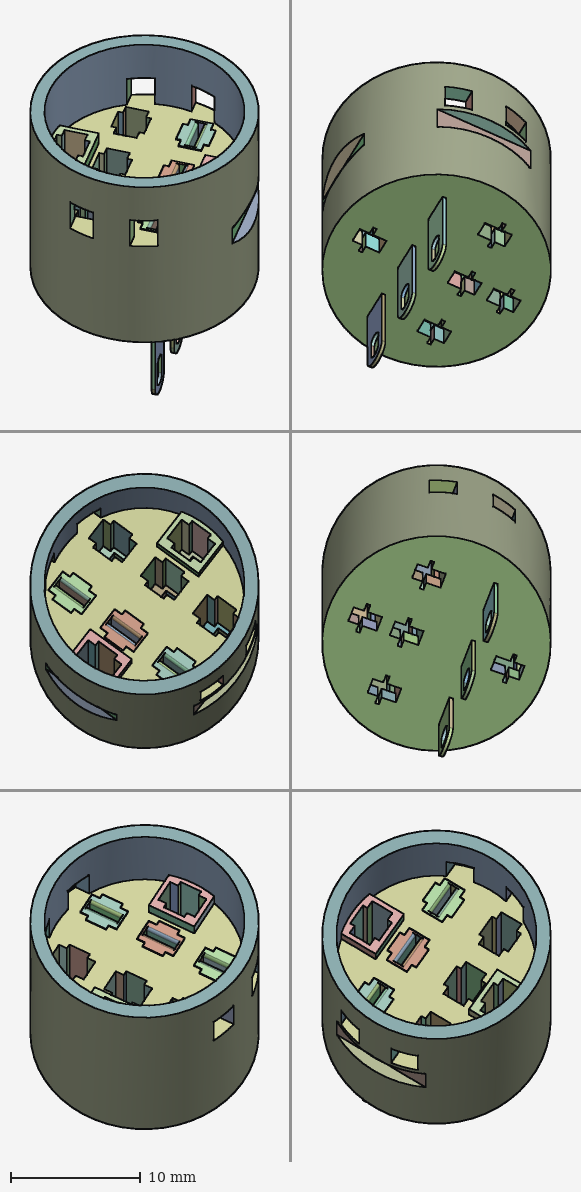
import cadquery as cq

BODY_DIAMETER = 17.6
BORE_DIAMETER = 15.4
BODY_HEIGHT = 16.0
FLOOR_Z = 9.9
BODY_RADIUS = BODY_DIAMETER / 2
BORE_RADIUS = BORE_DIAMETER / 2

WINDOW_WIDTH = 2.05
WINDOW_HEIGHT = 2.65
WINDOW_X = 2.5

SIDE_NOTCH_DEPTH = 1.0
SIDE_NOTCH_BOTTOM_Z = 6.8
SIDE_NOTCH_TOP_Z = 9.3

KEY_NOTCH_DEPTH = 0.7
KEY_NOTCH_CENTER_Z = 8.15
KEY_NOTCH_BASE_HEIGHT = 1.5

CONTACT_PITCH_Y = 5.0
COLUMN_X = 2.6
SEAT_X = 6.0
ROW_YS = [-CONTACT_PITCH_Y, 0, CONTACT_PITCH_Y]

SEAT_INNER_X = 4.28
SEAT_WIDTH = 4.0
SEAT_HEIGHT = 1.0

CROSS_LENGTH = 3.2
CROSS_WIDTH = 2.65
CROSS_STEM_WIDTH = 1.85
CROSS_ARM_LENGTH = 1.8
CAVITY_BOTTOM_Z = 2.0

RETAINER_HOLE_WIDTH = 1.2
RETAINER_HOLE_SHORT_REACH = 1.0
RETAINER_HOLE_LONG_REACH = CROSS_WIDTH / 2
SLIT_LENGTH = 2.4
SLIT_THICKNESS = 0.3

CONTACT_RISE = 0.1
MOUTH_LENGTH = 2.8
MOUTH_GAP = 0.46
MOUTH_LIP_RADIUS = 0.24
MOUTH_DEPTH = 6.0

TAIL_LENGTH = 7.9
TAIL_WIDTH = 2.4
TAIL_THICKNESS = SLIT_THICKNESS
EYELET_WIDTH = 1.2
EYELET_LENGTH = 2.8
EYELET_EDGE = 0.8


def box(x_range, y_range, z_range):
    """Axis-aligned box given by its (low, high) limits on each axis."""
    sizes = [high - low for low, high in (x_range, y_range, z_range)]
    corner = (x_range[0], y_range[0], z_range[0])
    return cq.Workplane("XY").box(*sizes, centered=False).translate(corner)


def cross_prism(x, y, bottom_z, top_z):
    """Upright prism with the stepped cross outline."""
    height = top_z - bottom_z
    plane = cq.Workplane("XY", origin=(x, y, bottom_z))
    stem = plane.rect(CROSS_STEM_WIDTH, CROSS_LENGTH).extrude(height)
    arms = plane.rect(CROSS_WIDTH, CROSS_ARM_LENGTH).extrude(height)
    return stem.union(arms)


def make_shell():
    shell = cq.Workplane("XY").circle(BODY_RADIUS).extrude(BODY_HEIGHT)
    bore = cq.Workplane("XY", origin=(0, 0, FLOOR_Z)).circle(BORE_RADIUS).extrude(BODY_HEIGHT - FLOOR_Z)
    return shell.cut(bore)


def cut_windows(body):
    for center_x in (-WINDOW_X, WINDOW_X):
        window = box(
            (center_x - WINDOW_WIDTH / 2, center_x + WINDOW_WIDTH / 2),
            (-BODY_RADIUS, BODY_RADIUS),
            (FLOOR_Z, FLOOR_Z + WINDOW_HEIGHT),
        )
        body = body.cut(window)
    return body


def cut_side_notch(body):
    notch = box(
        (-BODY_RADIUS, BODY_RADIUS),
        (BODY_RADIUS - SIDE_NOTCH_DEPTH, BODY_RADIUS),
        (SIDE_NOTCH_BOTTOM_Z, SIDE_NOTCH_TOP_Z),
    )
    return body.cut(notch)


def cut_key_notch(body):
    base_x = BODY_RADIUS - KEY_NOTCH_DEPTH
    half_base = KEY_NOTCH_BASE_HEIGHT / 2
    half_mouth = half_base + KEY_NOTCH_DEPTH
    profile = [
        (base_x, KEY_NOTCH_CENTER_Z - half_base),
        (BODY_RADIUS, KEY_NOTCH_CENTER_Z - half_mouth),
        (BODY_RADIUS, KEY_NOTCH_CENTER_Z + half_mouth),
        (base_x, KEY_NOTCH_CENTER_Z + half_base),
    ]
    notch = cq.Workplane("XZ").polyline(profile).close().extrude(BODY_RADIUS, both=True)
    return body.cut(notch)


def add_seats(body):
    z_range = (FLOOR_Z, FLOOR_Z + SEAT_HEIGHT)
    y_range = (-SEAT_WIDTH / 2, SEAT_WIDTH / 2)
    envelope_radius = (BORE_RADIUS + BODY_RADIUS) / 2
    envelope = cq.Workplane("XY").circle(envelope_radius).extrude(BODY_HEIGHT)
    for x_range in ((-BODY_RADIUS, -SEAT_INNER_X), (SEAT_INNER_X, BODY_RADIUS)):
        seat = box(x_range, y_range, z_range).intersect(envelope)
        body = body.union(seat)
    return body


def cut_cavity(body, x, y, top_z, long_side):
    """Empty contact cavity; long_side (+1 or -1) is the X side where its bottom hole meets the wall."""
    cavity = cross_prism(x, y, CAVITY_BOTTOM_Z, top_z)
    hole_ends = sorted((x + long_side * RETAINER_HOLE_LONG_REACH, x - long_side * RETAINER_HOLE_SHORT_REACH))
    half_hole = RETAINER_HOLE_WIDTH / 2
    hole = box(hole_ends, (y - half_hole, y + half_hole), (0, CAVITY_BOTTOM_Z))
    slit = box(
        (x - SLIT_THICKNESS / 2, x + SLIT_THICKNESS / 2),
        (y - SLIT_LENGTH / 2, y + SLIT_LENGTH / 2),
        (0, CAVITY_BOTTOM_Z),
    )
    return body.cut(cavity).cut(hole).cut(slit)


def make_mouth(x, y, top_z):
    """Slot between the contact blades, widening at the top over rounded lips."""
    half_gap = MOUTH_GAP / 2
    half_mouth = half_gap + MOUTH_LIP_RADIUS
    lip_z = top_z - MOUTH_LIP_RADIUS
    bottom_z = top_z - MOUTH_DEPTH
    lip_mid = MOUTH_LIP_RADIUS * (1 - 0.5 ** 0.5)
    return (
        cq.Workplane("XZ", origin=(x, y, 0))
        .moveTo(-half_gap, bottom_z)
        .lineTo(half_gap, bottom_z)
        .lineTo(half_gap, lip_z)
        .threePointArc((half_gap + lip_mid, top_z - lip_mid), (half_mouth, top_z))
        .lineTo(-half_mouth, top_z)
        .threePointArc((-half_gap - lip_mid, top_z - lip_mid), (-half_gap, lip_z))
        .close()
        .extrude(MOUTH_LENGTH / 2, both=True)
    )


def make_tail(x, y):
    """Flat solder tail with a round end and an oblong eyelet."""
    tail_radius = TAIL_WIDTH / 2
    eyelet_z = -TAIL_LENGTH + EYELET_EDGE + EYELET_LENGTH / 2
    plane = cq.Workplane("YZ", origin=(x, y, 0))
    half_thickness = TAIL_THICKNESS / 2
    blade = (
        plane.moveTo(-tail_radius, CAVITY_BOTTOM_Z)
        .lineTo(-tail_radius, tail_radius - TAIL_LENGTH)
        .threePointArc((0, -TAIL_LENGTH), (tail_radius, tail_radius - TAIL_LENGTH))
        .lineTo(tail_radius, CAVITY_BOTTOM_Z)
        .close()
        .extrude(half_thickness, both=True)
    )
    eyelet = plane.center(0, eyelet_z).slot2D(EYELET_LENGTH, EYELET_WIDTH, 90).extrude(half_thickness, both=True)
    return blade.cut(eyelet)


def add_contact(body, x, y):
    top_z = FLOOR_Z + CONTACT_RISE
    body = body.union(cross_prism(x, y, CAVITY_BOTTOM_Z, top_z))
    body = body.cut(make_mouth(x, y, top_z))
    return body.union(make_tail(x, y))


body = make_shell()
body = cut_windows(body)
body = cut_side_notch(body)
body = cut_key_notch(body)
body = add_seats(body)
for row_y in ROW_YS:
    body = cut_cavity(body, -COLUMN_X, row_y, FLOOR_Z, 1)
    body = add_contact(body, COLUMN_X, row_y)
for side in (-1, 1):
    body = cut_cavity(body, side * SEAT_X, 0, FLOOR_Z + SEAT_HEIGHT, -side)

result = body